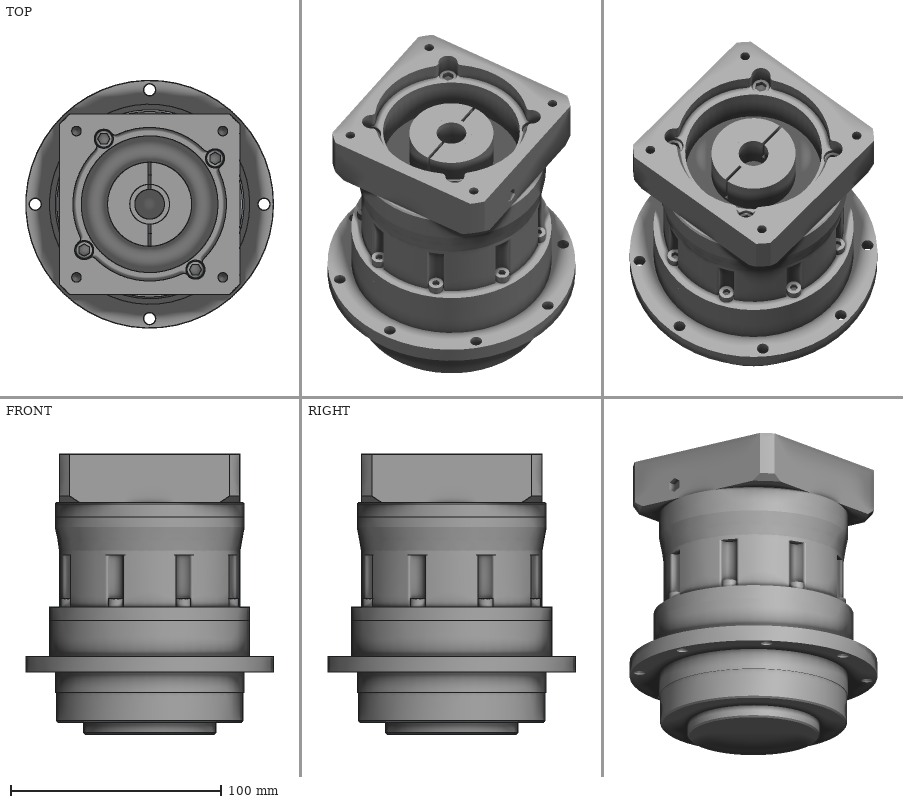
import cadquery as cq
import math

HUB_DISC_Z = 5.7
PILOT_Z = 19.9
FLANGE_BOTTOM_Z = 29.6
FLANGE_TOP_Z = 37.1
CASE_SPLIT_Z = 54.2
COLLAR_TOP_Z = 60.6
FLUTE_TOP_Z = 85.5
CONE_BOTTOM_Z = 87.5
CONE_TOP_Z = 98.7
ADAPTER_Z = 103.6
CAVITY_FLOOR_Z = 106.5
PLATE_BOTTOM_Z = 110.5
LEDGE_Z = 125.5
TOP_Z = 133.5

HUB_DISC_R = 31.5
PILOT_R = 44.5
NECK_R = 45.0
COLLAR_R = 47.7
FLANGE_R = 59.0
SLEEVE_R = 43.0
EDGE_BREAK = 0.8

FLANGE_HOLE_COUNT = 8
FLANGE_HOLE_R = 2.8
FLANGE_HOLE_CIRCLE_R = 54.5

FLUTE_COUNT = 8
FLUTE_R = 3.7
FLUTE_CIRCLE_R = 42.0
FLUTE_MOUTH_FILLET = 1.1
FLUTE_STEP = 360 / FLUTE_COUNT
CASE_HEAD_R = 3.5
CASE_HEAD_HEIGHT = 4.0
CASE_SOCKET_FLATS = 3.3
CASE_SOCKET_DEPTH = 2.7

PLATE_WIDTH = 2 * SLEEVE_R
PLATE_CORNER_R = 57.4
PLATE_CORNER_CHAMFER = 3.0
CAVITY_R = 32.6
PILOT_BORE_R = 36.6
MOTOR_HOLE_OFFSET = 34.8
MOTOR_HOLE_R = 2.3
MOTOR_HOLE_DEPTH = 16.0
DRILL_POINT_ANGLE = 118
SCREW_COUNT = 4
SCREW_CIRCLE_R = 38.0
SCREW_START_ANGLE = 35
SCREW_POCKET_R = 4.5
SCREW_HEAD_R = 4.0
SCREW_POCKET_Z = 120.2
SCREW_HEAD_TOP_Z = 124.2
POCKET_MOUTH_FILLET = 2.0
SCREW_SOCKET_FLATS = 5.1
SCREW_SOCKET_DEPTH = 2.7

PLUG_R = 5.0
PLUG_LENGTH = 8.0
PLUG_Y = 14.0
PLUG_Z = 117.5
PLUG_SOCKET_FLATS = 6.0
PLUG_SOCKET_DEPTH = 4.0

CLAMP_TOP_Z = 124.2
CLAMP_R = 20.0
SHAFT_R = 9.5
SHAFT_BORE_R = 7.1
SHAFT_COLLAR_R = 14.0
SHAFT_COLLAR_TOP_Z = 108.5
SHAFT_SLIT_Z = 112.1
SLIT_WIDTH = 1.5

HALF_HEX_STEP = 30
TOLERANCE = 0.01


def cylinder(radius, bottom, top):
    return cq.Workplane("XY").workplane(offset=bottom).circle(radius).extrude(top - bottom)


def box_between(x_range, y_range, z_range):
    lows, highs = zip(x_range, y_range, z_range)
    sizes = [high - low for low, high in zip(lows, highs)]
    return cq.Workplane("XY").box(*sizes, centered=False).translate(lows)


def hexagon_corners(flats):
    """Diameter over the corners of a hexagon, from its width over the flats."""
    return flats / math.cos(math.radians(HALF_HEX_STEP))


def polar_points(radius, count, start):
    angles = [math.radians(start + i * 360 / count) for i in range(count)]
    return [(radius * math.cos(a), radius * math.sin(a)) for a in angles]


def socket_head(radius, bottom, top, flats, depth):
    """Round screw head on the Z axis with a hexagon socket in its top."""
    head = cylinder(radius, bottom, top)
    return head.faces(">Z").workplane().polygon(6, hexagon_corners(flats)).cutBlind(-depth)


def fillet_mouths(body, rim_radius, fillet_radius):
    """Round the vertical edges where round notches meet a cylinder, but not its seam on the X axis."""
    def is_mouth(edge):
        middle = edge.Center()
        on_rim = abs(math.hypot(middle.x, middle.y) - rim_radius) < TOLERANCE
        return on_rim and abs(middle.y) > TOLERANCE

    return body.edges("|Z").filter(is_mouth).fillet(fillet_radius)


def make_output_case():
    """Output disc, pilot, neck and mounting flange, up to the joint with the gear case."""
    case = (
        cylinder(HUB_DISC_R, 0, HUB_DISC_Z).faces("<Z").edges().chamfer(EDGE_BREAK)
        .union(cylinder(PILOT_R, HUB_DISC_Z, PILOT_Z).faces("<Z").edges().chamfer(EDGE_BREAK))
        .union(cylinder(NECK_R, PILOT_Z, FLANGE_BOTTOM_Z))
        .union(cylinder(FLANGE_R, FLANGE_BOTTOM_Z, FLANGE_TOP_Z))
        .union(cylinder(COLLAR_R, FLANGE_TOP_Z, CASE_SPLIT_Z))
    )
    holes = (
        cq.Workplane("XY").workplane(offset=FLANGE_BOTTOM_Z)
        .pushPoints(polar_points(FLANGE_HOLE_CIRCLE_R, FLANGE_HOLE_COUNT, 0))
        .circle(FLANGE_HOLE_R).extrude(FLANGE_TOP_Z - FLANGE_BOTTOM_Z)
    )
    return case.cut(holes)


def make_fluted_sleeve():
    """Cylinder with round vertical flutes whose mouths are rounded over."""
    height = FLUTE_TOP_Z - COLLAR_TOP_Z
    flutes = (
        cq.Workplane("XY").workplane(offset=COLLAR_TOP_Z)
        .pushPoints(polar_points(FLUTE_CIRCLE_R, FLUTE_COUNT, FLUTE_STEP / 2))
        .circle(FLUTE_R).extrude(height)
    )
    sleeve = cylinder(SLEEVE_R, COLLAR_TOP_Z, FLUTE_TOP_Z).cut(flutes)
    return fillet_mouths(sleeve, SLEEVE_R, FLUTE_MOUTH_FILLET)


def make_gear_case():
    """Collar, fluted sleeve with its screw heads, and the flared top."""
    flare = (
        cq.Workplane("XZ")
        .polyline([
            (0, FLUTE_TOP_Z), (SLEEVE_R, FLUTE_TOP_Z), (SLEEVE_R, CONE_BOTTOM_Z),
            (NECK_R, CONE_TOP_Z), (NECK_R, ADAPTER_Z), (0, ADAPTER_Z),
        ])
        .close().revolve(360, (0, 0), (0, 1))
    )
    case = cylinder(COLLAR_R, CASE_SPLIT_Z, COLLAR_TOP_Z).union(make_fluted_sleeve()).union(flare)
    head = socket_head(
        CASE_HEAD_R, COLLAR_TOP_Z, COLLAR_TOP_Z + CASE_HEAD_HEIGHT, CASE_SOCKET_FLATS, CASE_SOCKET_DEPTH
    ).translate((FLUTE_CIRCLE_R, 0, 0))
    for i in range(FLUTE_COUNT):
        case = case.union(head.rotate((0, 0, 0), (0, 0, 1), (i + 0.5) * FLUTE_STEP))
    return case


def make_plate():
    """Square plate with turned corners, chamfered around the bottom."""
    height = TOP_Z - PLATE_BOTTOM_Z
    square = cq.Workplane("XY").workplane(offset=PLATE_BOTTOM_Z).rect(PLATE_WIDTH, PLATE_WIDTH)
    turned = cylinder(PLATE_CORNER_R, PLATE_BOTTOM_Z, TOP_Z)
    turned = turned.faces("<Z").edges().chamfer(PLATE_CORNER_CHAMFER)
    return square.extrude(height).intersect(turned)


def make_pilot_recess():
    """Material removed for the motor pilot, with four screw pockets blended into its rim."""
    points = polar_points(SCREW_CIRCLE_R, SCREW_COUNT, SCREW_START_ANGLE)
    recess = cylinder(PILOT_BORE_R, LEDGE_Z, TOP_Z)
    pockets = cq.Workplane("XY").workplane(offset=LEDGE_Z).pushPoints(points).circle(SCREW_POCKET_R)
    recess = recess.union(pockets.extrude(TOP_Z - LEDGE_Z))
    recess = fillet_mouths(recess, PILOT_BORE_R, POCKET_MOUTH_FILLET)
    sunk = cq.Workplane("XY").workplane(offset=SCREW_POCKET_Z).pushPoints(points).circle(SCREW_POCKET_R)
    return recess.union(sunk.extrude(TOP_Z - SCREW_POCKET_Z))


def make_motor_hole():
    """Blind drilled hole with a conical bottom, opening at the top of the Z axis."""
    point_depth = MOTOR_HOLE_R / math.tan(math.radians(DRILL_POINT_ANGLE / 2))
    floor = TOP_Z - MOTOR_HOLE_DEPTH
    profile = [
        (0, TOP_Z), (MOTOR_HOLE_R, TOP_Z), (MOTOR_HOLE_R, floor), (0, floor - point_depth),
    ]
    return cq.Workplane("XZ").polyline(profile).close().revolve(360, (0, 0), (0, 1))


def make_adapter():
    """Round base and square motor plate, with the cavity for the clamp and the plug hole."""
    base = cylinder(NECK_R, ADAPTER_Z, PLATE_BOTTOM_Z).faces(">Z").edges().chamfer(EDGE_BREAK)
    adapter = base.union(make_plate()).cut(make_pilot_recess())
    head = socket_head(
        SCREW_HEAD_R, SCREW_POCKET_Z, SCREW_HEAD_TOP_Z, SCREW_SOCKET_FLATS, SCREW_SOCKET_DEPTH
    )
    head = head.rotate((0, 0, 0), (0, 0, 1), HALF_HEX_STEP - SCREW_START_ANGLE)
    head = head.translate((SCREW_CIRCLE_R, 0, 0))
    for i in range(SCREW_COUNT):
        angle = SCREW_START_ANGLE + i * 360 / SCREW_COUNT
        adapter = adapter.union(head.rotate((0, 0, 0), (0, 0, 1), angle))
    adapter = adapter.cut(cylinder(CAVITY_R, CAVITY_FLOOR_Z, TOP_Z))
    for x in (-MOTOR_HOLE_OFFSET, MOTOR_HOLE_OFFSET):
        for y in (-MOTOR_HOLE_OFFSET, MOTOR_HOLE_OFFSET):
            adapter = adapter.cut(make_motor_hole().translate((x, y, 0)))
    return adapter.cut(plug_blank())


def plug_blank():
    """Plain cylinder filling the plug hole."""
    side = cq.Workplane("YZ", origin=(-PLATE_WIDTH / 2, PLUG_Y, PLUG_Z))
    return side.circle(PLUG_R).extrude(PLUG_LENGTH)


def make_plug():
    """Access plug, flush with the plate, with a hexagon socket."""
    side = cq.Workplane("YZ", origin=(-PLATE_WIDTH / 2, PLUG_Y, PLUG_Z))
    socket = side.transformed(rotate=(0, 0, HALF_HEX_STEP)).polygon(6, hexagon_corners(PLUG_SOCKET_FLATS))
    return plug_blank().cut(socket.extrude(PLUG_SOCKET_DEPTH))


def slit(y_range, bottom):
    """Clamping slit in the YZ plane, open at the top of the clamp ring."""
    return box_between((-SLIT_WIDTH / 2, SLIT_WIDTH / 2), y_range, (bottom, CLAMP_TOP_Z))


def make_input_shaft():
    """Bored shaft on a collar, slit on its +Y side."""
    shaft = (
        cylinder(SHAFT_COLLAR_R, CAVITY_FLOOR_Z, SHAFT_COLLAR_TOP_Z)
        .union(cylinder(SHAFT_R, SHAFT_COLLAR_TOP_Z, CLAMP_TOP_Z))
        .cut(cylinder(SHAFT_BORE_R, CAVITY_FLOOR_Z, CLAMP_TOP_Z))
    )
    return shaft.cut(slit((0, SHAFT_R), SHAFT_SLIT_Z))


def make_clamp_ring():
    """Clamp ring around the shaft, slit on both sides down to the top of the shaft collar."""
    ring = (
        cylinder(CLAMP_R, CAVITY_FLOOR_Z, CLAMP_TOP_Z)
        .cut(cylinder(SHAFT_R, CAVITY_FLOOR_Z, CLAMP_TOP_Z))
        .cut(cylinder(SHAFT_COLLAR_R, CAVITY_FLOOR_Z, SHAFT_COLLAR_TOP_Z))
    )
    return ring.cut(slit((-CLAMP_R, CLAMP_R), SHAFT_COLLAR_TOP_Z))


output_case = make_output_case()
gear_case = make_gear_case()
adapter = make_adapter()
plug = make_plug()
input_shaft = make_input_shaft()
clamp_ring = make_clamp_ring()

result = cq.Compound.makeCompound([
    output_case.val(), gear_case.val(), adapter.val(), plug.val(), input_shaft.val(), clamp_ring.val(),
])